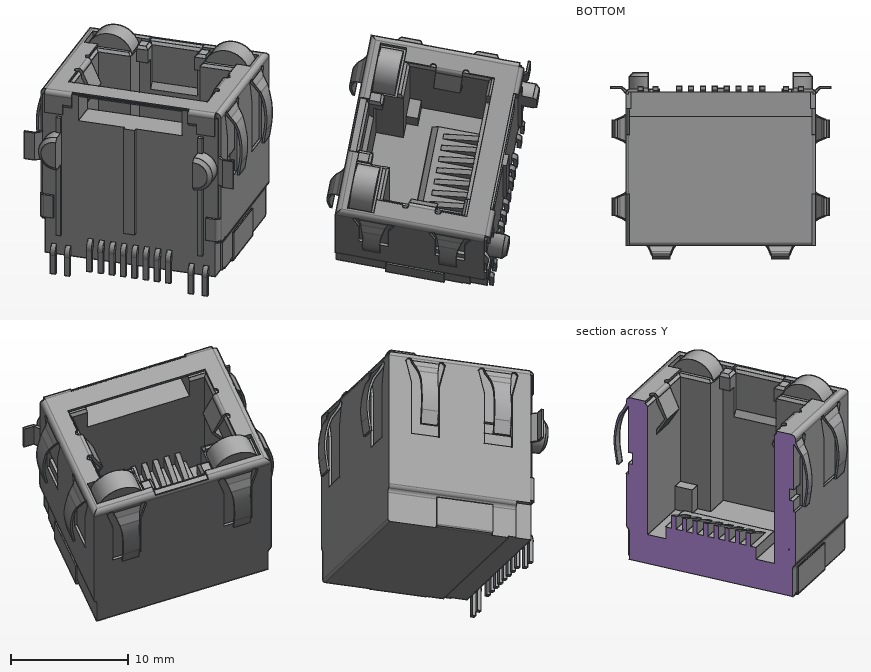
import cadquery as cq

HALF_WIDTH = 8.1
DEPTH = 13.12
HEIGHT = 15.55
SHEET = 0.23
TOP_BEND = 0.47
SHIELD_FRONT = 0.19
SHIELD_BOTTOM = 3.33
JOG_BOTTOM = 2.63
LOWER_HALF_WIDTH = 7.8
LOWER_COVER_FRONT = 1.45
HOUSING_HALF_WIDTH = HALF_WIDTH - SHEET
HOUSING_FOOT_HALF_WIDTH = 7.65
FOOT_STEP_DEPTH = 2.1
FOOT_STEP_HEIGHT = 0.13
BACK_EDGE_BEND = 0.23

CAVITY_HALF_WIDTH = 6.02
CAVITY_FRONT = 2.5
CAVITY_BACK = 9.36
CAVITY_FLOOR = 2.82
OPENING_HALF_WIDTH = 6.25
OPENING_FRONT = 2.05
OPENING_BACK = 9.9
BAY_HALF_WIDTH = 3.12
BAY_BACK = 11.75
LATCH_HALF_WIDTH = 2.1
LATCH_BACK = 12.16
LATCH_RAMP_Z = 11.05
LATCH_RAMP_RISE = 0.55
LATCH_BLOCK_FRONT = 11.0
LATCH_BLOCK_BOTTOM = 13.87
RIM_NOTCH_HALF_WIDTH = 2.4
RIM_NOTCH_BACK = 12.97
FUNNEL = 0.25
FUNNEL_EDGE = 0.002
CORNER_BLOCK_INNER = 4.38
CORNER_BLOCK_FRONT = 8.35
CORNER_BLOCK_HEIGHT = 2.25
WINDOW_HALF_WIDTH = 4.66
WINDOW_BOTTOM = 13.03
WINDOW_TOP = HEIGHT - SHEET

COMB_HALF_WIDTH = 4.32
COMB_BACK = 7.1
COMB_HEIGHT = 1.13
COMB_CHAMFER = 0.55
CONTACT_BACK = 5.98
CONTACT_RISE = 1.5

PIN_COUNT = 8
PIN_PITCH = 1.02
PIN_WIDTH = 0.45
PIN_THICKNESS = 0.32
PIN_SHOULDER = 0.94
PIN_BULGE = 0.7
PIN_ROOT_HEIGHT = 0.47
PIN_TOP = 2.03
PIN_BOTTOM = -0.88
PIN_FRONT = -0.47
LED_PIN_PLACES = (5.56, 6.85)
LED_PIN_TOP = 1.07
LED_PIN_BOTTOM = -1.62
LED_PIN_FRONT = -0.41

LENS_X = 5.26
LENS_RADIUS = 2.07
LENS_TOP = 16.55
LENS_FRONT = 10.13
LENS_BACK = 12.1
LENS_GAP_BACK = 12.18
LENS_HOLE_HALF_WIDTH = 2.18
LENS_HOLE_DEPTH = 0.56

SPRING_REACH = 1.17
SPRING_SHEET = 0.19
SPRING_ROOT_Z = 14.85
SPRING_NECK_Z = 14.33
SPRING_NECK_REACH = 0.26
SPRING_BOW_Z = 13.7
SPRING_BOW_REACH = 0.68
SPRING_PEAK_Z = 11.28
SPRING_BEND_Z = 10.1
SPRING_BEND_REACH = 1.09
SPRING_TIP_Z = 8.87
SPRING_TIP_REACH = 0.9
SPRING_HALF_WIDTH = 0.75
SPRING_ROOT_HALF_WIDTH = 1.33
SLOT_HALF_WIDTH = 1.28
SLOT_FLARE_HALF_WIDTH = 1.8
SLOT_BOTTOM = 8.2
FLARE_START_Z = 12.82
SLOT_TOP = 15.04
SLOT_SHOULDER = 0.23
SIDE_SPRING_PLACES = (3.15, 9.8)
BACK_SPRING_X = 5.08
SIDE_POCKET = (9.21, 10.25)
SIDE_POCKET_DEPTH = 0.38

INNER_SPRING_FRONT = 4.8
INNER_SPRING_BACK = 7.1
INNER_SPRING_PEAK_X = 5.0
INNER_SPRING_PEAK_Z = 13.3
INNER_SPRING_END_Z = 11.65
INNER_SPRING_BEND = 0.38
RELIEF_RADIUS = 0.26

RIB_FRONT = -0.32
CENTRE_RIB_HALF_WIDTH = 0.5
CENTRE_RIB_BOTTOM = 3.14
SIDE_RIB_INNER = 6.17
SIDE_RIB_OUTER = 6.58
SIDE_RIB_BOTTOM = 2.05
SIDE_RIB_TOP = 13.18
POST_X = 6.3
POST_Z = 10.25
POST_RADIUS = 1.52
POST_LENGTH = 1.64
POST_CHAMFER = 0.34
TAB_OUTER = 7.65
TAB_INNER = 5.23
TAB_STEP_X = 6.03
TAB_STEP_Z = 14.12
TAB_BOTTOM = 13.48
TAB_STEP_BEVEL = 0.28
TAB_BEND = 0.4
CLIP_INNER = 6.86
CLIP_BOTTOM = 3.57
CLIP_TOP = 5.65
CLIP_BEND = 0.38
EAR_TIP = 9.4
EAR_BOTTOM = 8.93
EAR_TOP = 11.49
EAR_SHEET = 0.19
EAR_FRONT = -0.47
EAR_BEND_X = 8.48

PLATE_FRONT = 3.67
PLATE_BACK = 8.75
PLATE_TOP = 2.7
PLATE_SHEET = 0.13
PLATE_BEND = 0.23


def block(x0, x1, y0, y1, z0, z1):
    return cq.Workplane("XY").box(x1 - x0, y1 - y0, z1 - z0, centered=False).translate((x0, y0, z0))


def centred_block(half_width, y0, y1, z0, z1):
    return block(-half_width, half_width, y0, y1, z0, z1)


def both_sides(shape):
    return shape.union(shape.mirror("YZ"))


def profile_along_x(points, x0, x1):
    """Extrude a (y, z) outline from x0 to x1."""
    return cq.Workplane("YZ").polyline(points).close().extrude(x1 - x0).translate((x0, 0, 0))


def make_body():
    shield = centred_block(HALF_WIDTH, SHIELD_FRONT, DEPTH, SHIELD_BOTTOM, HEIGHT)
    shield = shield.edges(">Z and (<X or >X or >Y)").fillet(TOP_BEND)
    housing = centred_block(HOUSING_HALF_WIDTH, 0, DEPTH / 2, SHIELD_BOTTOM, HEIGHT - TOP_BEND)
    top_front = centred_block(TAB_OUTER, 0, DEPTH / 2, SHIELD_BOTTOM, HEIGHT - SHEET / 2)
    jog_width = (HALF_WIDTH - LOWER_HALF_WIDTH) / 2
    jog_drop = (SHIELD_BOTTOM - JOG_BOTTOM) / 2
    jog_radius = (jog_width**2 + jog_drop**2) / (2 * jog_width)
    jog = (
        cq.Workplane("XZ")
        .moveTo(0, SHIELD_BOTTOM)
        .lineTo(HALF_WIDTH, SHIELD_BOTTOM)
        .radiusArc((HALF_WIDTH - jog_width, SHIELD_BOTTOM - jog_drop), jog_radius)
        .radiusArc((LOWER_HALF_WIDTH, JOG_BOTTOM), -jog_radius)
        .lineTo(0, JOG_BOTTOM)
        .close()
        .extrude(LOWER_COVER_FRONT - DEPTH)
        .translate((0, LOWER_COVER_FRONT, 0))
    )
    cover = centred_block(LOWER_HALF_WIDTH, LOWER_COVER_FRONT, DEPTH, 0, JOG_BOTTOM)
    cover = cover.edges("<Z and >Y").fillet(BACK_EDGE_BEND)
    step = centred_block(LOWER_HALF_WIDTH, LOWER_COVER_FRONT, FOOT_STEP_DEPTH, 0, FOOT_STEP_HEIGHT)
    foot = centred_block(HOUSING_FOOT_HALF_WIDTH, 0, DEPTH / 2, FOOT_STEP_HEIGHT, SHIELD_BOTTOM)
    return shield.union(housing).union(top_front).union(both_sides(jog)).union(cover).cut(step).union(foot)


def funnel(half_width, y0, y1):
    """Sloped lead-in just under the top sheet, ending at the given outline at its lower end."""
    top = HEIGHT - SHEET
    lead_in = centred_block(half_width + FUNNEL, y0 - FUNNEL, y1 + FUNNEL, top - FUNNEL, top)
    return lead_in.faces("<Z").edges().chamfer(FUNNEL - FUNNEL_EDGE)


def cut_cavity(body):
    under_sheet = HEIGHT - SHEET
    body = body.cut(centred_block(OPENING_HALF_WIDTH, OPENING_FRONT, OPENING_BACK, under_sheet, HEIGHT))
    body = body.cut(centred_block(CAVITY_HALF_WIDTH, CAVITY_FRONT, CAVITY_BACK, CAVITY_FLOOR, HEIGHT))
    body = body.cut(centred_block(BAY_HALF_WIDTH, CAVITY_FRONT, BAY_BACK, CAVITY_FLOOR, HEIGHT))
    latch_recess = profile_along_x(
        [
            (BAY_BACK, LATCH_RAMP_Z),
            (LATCH_BACK, LATCH_RAMP_Z + LATCH_RAMP_RISE),
            (LATCH_BACK, HEIGHT),
            (BAY_BACK, HEIGHT),
        ],
        -LATCH_HALF_WIDTH,
        LATCH_HALF_WIDTH,
    )
    rim_notch = centred_block(RIM_NOTCH_HALF_WIDTH, BAY_BACK, RIM_NOTCH_BACK, under_sheet, HEIGHT)
    latch_block = block(
        LATCH_HALF_WIDTH, BAY_HALF_WIDTH, LATCH_BLOCK_FRONT, LATCH_BACK, LATCH_BLOCK_BOTTOM, under_sheet
    )
    latch_block = latch_block.edges(">Z and (<X or <Y)").chamfer(FUNNEL)
    corner_block = block(
        CORNER_BLOCK_INNER, CAVITY_HALF_WIDTH, CORNER_BLOCK_FRONT, CAVITY_BACK,
        CAVITY_FLOOR, CAVITY_FLOOR + CORNER_BLOCK_HEIGHT,
    )
    window = centred_block(WINDOW_HALF_WIDTH, 0, CAVITY_FRONT, WINDOW_BOTTOM, WINDOW_TOP)
    body = body.cut(latch_recess).cut(rim_notch).cut(window)
    body = body.cut(block(-BAY_HALF_WIDTH, BAY_HALF_WIDTH, CAVITY_BACK, LATCH_BACK, under_sheet, HEIGHT))
    body = body.cut(funnel(CAVITY_HALF_WIDTH, CAVITY_FRONT, CAVITY_BACK))
    body = body.cut(funnel(BAY_HALF_WIDTH, CAVITY_FRONT, LATCH_BLOCK_FRONT))
    body = body.cut(funnel(LATCH_HALF_WIDTH, CAVITY_FRONT, LATCH_BACK))
    return body.union(both_sides(latch_block)).union(both_sides(corner_block))


def pin_places():
    return [(i - (PIN_COUNT - 1) / 2) * PIN_PITCH for i in range(PIN_COUNT)]


def add_contact_comb(body):
    comb_top = CAVITY_FLOOR + COMB_HEIGHT
    comb = centred_block(COMB_HALF_WIDTH, CAVITY_FRONT, COMB_BACK, CAVITY_FLOOR, comb_top)
    body = body.union(comb.edges(">Z and >Y").chamfer(COMB_CHAMFER))
    for x in pin_places():
        contact = profile_along_x(
            [(CAVITY_FRONT, comb_top), (CONTACT_BACK, comb_top), (CAVITY_FRONT, comb_top + CONTACT_RISE)],
            x - PIN_WIDTH / 2,
            x + PIN_WIDTH / 2,
        )
        body = body.union(contact)
    return body


def make_pin(x, front, bottom, top):
    """Pin leaving the front face and curving down over a rounded shoulder."""
    shoulder_z = top - PIN_SHOULDER
    back = front + PIN_THICKNESS
    return (
        cq.Workplane("YZ")
        .moveTo(SHIELD_FRONT, top)
        .lineTo(0, top)
        .threePointArc((PIN_BULGE * front, top - PIN_SHOULDER * (1 - PIN_BULGE)), (front, shoulder_z))
        .lineTo(front, bottom)
        .lineTo(back, bottom)
        .lineTo(back, shoulder_z)
        .lineTo(SHIELD_FRONT, top - PIN_ROOT_HEIGHT)
        .close()
        .extrude(PIN_WIDTH)
        .translate((x - PIN_WIDTH / 2, 0, 0))
    )


def add_pins(body):
    for x in pin_places():
        body = body.union(make_pin(x, PIN_FRONT, PIN_BOTTOM, PIN_TOP))
    for x in LED_PIN_PLACES:
        body = body.union(both_sides(make_pin(x, LED_PIN_FRONT, LED_PIN_BOTTOM, LED_PIN_TOP)))
    return body


def add_lenses(body):
    hole = block(
        LENS_X - LENS_HOLE_HALF_WIDTH, LENS_X + LENS_HOLE_HALF_WIDTH,
        OPENING_BACK, LENS_GAP_BACK, HEIGHT - LENS_HOLE_DEPTH, HEIGHT,
    )
    lens = (
        cq.Workplane("XZ")
        .center(LENS_X, LENS_TOP - LENS_RADIUS)
        .circle(LENS_RADIUS)
        .extrude(LENS_FRONT - LENS_BACK)
        .translate((0, LENS_FRONT, 0))
    )
    return body.cut(both_sides(hole)).union(both_sides(lens))


def spring_slot():
    """Flared slot in a wall at X = 0, outside towards +X, centred on Y = 0."""
    half = [
        (SLOT_HALF_WIDTH, SLOT_BOTTOM),
        (SLOT_HALF_WIDTH, FLARE_START_Z),
        (SLOT_FLARE_HALF_WIDTH, SLOT_TOP - SLOT_SHOULDER),
        (SLOT_FLARE_HALF_WIDTH - SLOT_SHOULDER, SLOT_TOP),
    ]
    other_half = [(-y, z) for y, z in reversed(half)]
    return profile_along_x(half + other_half, -SHEET, 0)


def outer_spring():
    """Bowed spring leaving a wall at X = 0, bulging towards +X, centred on Y = 0."""
    strip = (
        cq.Workplane("XZ")
        .moveTo(0, SPRING_ROOT_Z)
        .lineTo(SPRING_NECK_REACH, SPRING_NECK_Z)
        .lineTo(SPRING_BOW_REACH, SPRING_BOW_Z)
        .threePointArc((SPRING_REACH, SPRING_PEAK_Z), (SPRING_BEND_REACH, SPRING_BEND_Z))
        .lineTo(SPRING_TIP_REACH, SPRING_TIP_Z)
        .lineTo(SPRING_TIP_REACH - SPRING_SHEET, SPRING_TIP_Z)
        .lineTo(SPRING_BEND_REACH - SPRING_SHEET, SPRING_BEND_Z)
        .threePointArc(
            (SPRING_REACH - SPRING_SHEET, SPRING_PEAK_Z),
            (SPRING_BOW_REACH - SPRING_SHEET, SPRING_BOW_Z - SPRING_SHEET / 2),
        )
        .lineTo(SPRING_NECK_REACH - SPRING_SHEET, SPRING_NECK_Z - SPRING_SHEET / 2)
        .lineTo(-SHEET, SPRING_ROOT_Z - SPRING_SHEET)
        .lineTo(-SHEET, SLOT_TOP)
        .lineTo(0, SLOT_TOP)
        .close()
        .extrude(SPRING_ROOT_HALF_WIDTH, both=True)
    )
    reach = SPRING_REACH + SHEET
    flare_width = (2 * SPRING_HALF_WIDTH + SPRING_ROOT_HALF_WIDTH) / 3
    flare_z = (FLARE_START_Z + SLOT_TOP) / 2
    outline = (
        cq.Workplane("YZ")
        .moveTo(-SPRING_HALF_WIDTH, SPRING_TIP_Z)
        .lineTo(SPRING_HALF_WIDTH, SPRING_TIP_Z)
        .lineTo(SPRING_HALF_WIDTH, FLARE_START_Z)
        .threePointArc((flare_width, flare_z), (SPRING_ROOT_HALF_WIDTH, SLOT_TOP))
        .lineTo(-SPRING_ROOT_HALF_WIDTH, SLOT_TOP)
        .threePointArc((-flare_width, flare_z), (-SPRING_HALF_WIDTH, FLARE_START_Z))
        .close()
        .extrude(reach, both=True)
    )
    return strip.intersect(outline)


def add_outer_springs(body):
    for y in SIDE_SPRING_PLACES:
        place = (HALF_WIDTH, y, 0)
        body = body.cut(both_sides(spring_slot().translate(place)))
        body = body.union(both_sides(outer_spring().translate(place)))
    place = (BACK_SPRING_X, DEPTH, 0)
    slot = spring_slot().rotate((0, 0, 0), (0, 0, 1), 90).translate(place)
    spring = outer_spring().rotate((0, 0, 0), (0, 0, 1), 90).translate(place)
    body = body.cut(both_sides(slot)).union(both_sides(spring))
    pocket = block(
        HOUSING_HALF_WIDTH - SIDE_POCKET_DEPTH, HOUSING_HALF_WIDTH,
        SIDE_SPRING_PLACES[0] - SLOT_HALF_WIDTH, SIDE_SPRING_PLACES[0] + SLOT_HALF_WIDTH,
        *SIDE_POCKET,
    )
    return body.cut(both_sides(pocket))


def add_inner_springs(body):
    width = INNER_SPRING_BACK - INNER_SPRING_FRONT
    outside = OPENING_HALF_WIDTH
    spring = (
        cq.Workplane("XZ")
        .moveTo(outside, HEIGHT)
        .radiusArc((outside - INNER_SPRING_BEND, HEIGHT - INNER_SPRING_BEND), -INNER_SPRING_BEND)
        .lineTo(INNER_SPRING_PEAK_X, INNER_SPRING_PEAK_Z)
        .lineTo(CAVITY_HALF_WIDTH, INNER_SPRING_END_Z)
        .lineTo(CAVITY_HALF_WIDTH, INNER_SPRING_END_Z + 2 * SHEET)
        .lineTo(INNER_SPRING_PEAK_X + SHEET, INNER_SPRING_PEAK_Z)
        .lineTo(outside, HEIGHT - INNER_SPRING_BEND)
        .close()
        .extrude(-width)
        .translate((0, INNER_SPRING_FRONT, 0))
    )
    for y in (INNER_SPRING_FRONT - RELIEF_RADIUS, INNER_SPRING_BACK + RELIEF_RADIUS):
        relief = (
            cq.Workplane("XY", origin=(outside, y, HEIGHT - SHEET)).circle(RELIEF_RADIUS).extrude(SHEET)
        )
        body = body.cut(both_sides(relief))
    return body.union(both_sides(spring))


def add_ribs_and_posts(body):
    centre_rib = centred_block(CENTRE_RIB_HALF_WIDTH, RIB_FRONT, 0, CENTRE_RIB_BOTTOM, WINDOW_BOTTOM)
    side_rib = block(SIDE_RIB_INNER, SIDE_RIB_OUTER, RIB_FRONT, 0, SIDE_RIB_BOTTOM, SIDE_RIB_TOP)
    post = cq.Workplane("XZ").center(POST_X, POST_Z).circle(POST_RADIUS).extrude(POST_LENGTH)
    post = post.faces("<Y").chamfer(POST_CHAMFER)
    inner_side = block(
        POST_X - POST_RADIUS, SIDE_RIB_INNER, -POST_LENGTH, 0, POST_Z - POST_RADIUS, POST_Z + POST_RADIUS
    )
    return body.union(centre_rib).union(both_sides(side_rib)).union(both_sides(post.cut(inner_side)))


def add_shield_tabs(body):
    tab = block(TAB_INNER, TAB_OUTER, -SHEET, SHIELD_FRONT, TAB_BOTTOM, HEIGHT)
    tab = tab.edges(">Z and <Y").fillet(TAB_BEND)
    step = profile_along_x(
        [
            (-SHEET, TAB_BOTTOM),
            (0, TAB_BOTTOM),
            (0, TAB_STEP_Z),
            (-SHEET, TAB_STEP_Z + TAB_STEP_BEVEL),
        ],
        TAB_INNER,
        TAB_STEP_X,
    )
    tab = tab.cut(step)
    clip = block(CLIP_INNER, HALF_WIDTH, -SHEET, SHIELD_FRONT, CLIP_BOTTOM, CLIP_TOP)
    clip = clip.edges(">X and <Y").fillet(CLIP_BEND)
    ear = (
        cq.Workplane("XY")
        .polyline([
            (HOUSING_HALF_WIDTH, SHIELD_FRONT),
            (HALF_WIDTH, SHIELD_FRONT),
            (EAR_BEND_X, EAR_FRONT + EAR_SHEET),
            (EAR_TIP, EAR_FRONT + EAR_SHEET),
            (EAR_TIP, EAR_FRONT),
            (EAR_BEND_X, EAR_FRONT),
            (HOUSING_HALF_WIDTH, 0),
        ])
        .close()
        .extrude(EAR_TOP - EAR_BOTTOM)
        .translate((0, 0, EAR_BOTTOM))
    )
    return body.union(both_sides(tab)).union(both_sides(clip)).union(both_sides(ear))


def add_lower_plates(body):
    outer = HALF_WIDTH
    plate = block(outer - PLATE_SHEET, outer, PLATE_FRONT, PLATE_BACK, 0, PLATE_TOP)
    web = block(HOUSING_FOOT_HALF_WIDTH, outer, PLATE_FRONT, PLATE_BACK, 0, PLATE_SHEET)
    plate = plate.union(web).edges("<Z and >X").fillet(PLATE_BEND)
    return body.union(both_sides(plate))


body = make_body()
body = cut_cavity(body)
body = add_contact_comb(body)
body = add_lenses(body)
body = add_outer_springs(body)
body = add_inner_springs(body)
body = add_ribs_and_posts(body)
body = add_shield_tabs(body)
body = add_lower_plates(body)
result = add_pins(body)